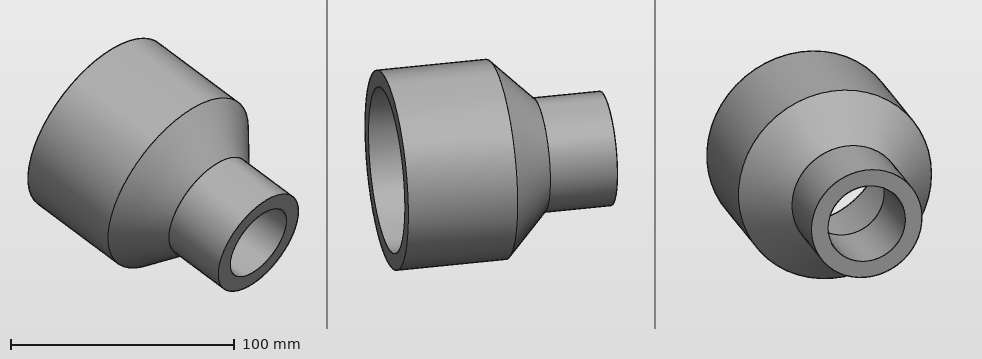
import cadquery as cq
import math

total_length = 100.0
large_outer_diameter = 90.0
large_bore_diameter = 75.0
small_outer_diameter = 51.5
small_bore_diameter = 36.0

cone_angle = math.radians(45)

large_wall = (large_outer_diameter - large_bore_diameter) / 2
outer_cone_start = 50.0
bore_cone_start = outer_cone_start - large_wall * math.tan(cone_angle / 2)


def stepped_taper(large_diameter, small_diameter, cone_start):
    """Solid of a large cylinder, a cone and a small cylinder in line along +X."""
    large_radius = large_diameter / 2
    small_radius = small_diameter / 2
    cone_end = cone_start + (large_radius - small_radius) / math.tan(cone_angle)
    return (
        cq.Workplane("XY")
        .moveTo(0, 0)
        .lineTo(0, large_radius)
        .lineTo(cone_start, large_radius)
        .lineTo(cone_end, small_radius)
        .lineTo(total_length, small_radius)
        .lineTo(total_length, 0)
        .close()
        .revolve(360, (0, 0, 0), (1, 0, 0))
    )


body = stepped_taper(large_outer_diameter, small_outer_diameter, outer_cone_start)
bore = stepped_taper(large_bore_diameter, small_bore_diameter, bore_cone_start)

result = body.cut(bore)